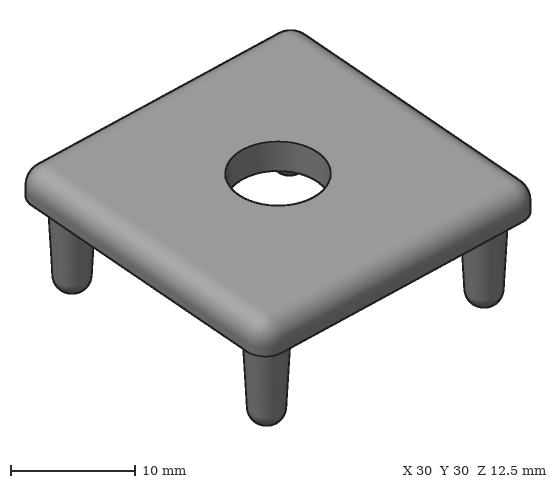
import cadquery as cq
import math

plate_side = 30.0
plate_thickness = 3.0
edge_radius = 2.0
hole_diameter = 8.5

peg_spacing = 23.5
peg_root_radius = 2.0
peg_end_radius = 1.6
peg_taper_length = 8.0
peg_tip_height = 1.5
peg_length = peg_taper_length + peg_tip_height

tip_sphere_radius = (peg_end_radius**2 + peg_tip_height**2) / (2 * peg_tip_height)
tip_sphere_z = tip_sphere_radius - peg_length


def make_plate():
    """Square plate with rounded corners, rounded top edges and a central through hole."""
    plate = cq.Workplane("XY").rect(plate_side, plate_side).extrude(plate_thickness)
    plate = plate.edges("|Z").fillet(edge_radius)
    plate = plate.faces(">Z").edges().fillet(edge_radius)
    return plate.faces(">Z").workplane().hole(hole_diameter)


def make_peg():
    """Tapered round peg hanging down from Z = 0, ending in a domed tip."""
    arc_middle_angle = math.radians(45)
    arc_middle = (
        -tip_sphere_radius * math.cos(arc_middle_angle),
        tip_sphere_z - tip_sphere_radius * math.sin(arc_middle_angle),
    )
    half_profile = (
        cq.Workplane("XZ")
        .moveTo(0, 0)
        .lineTo(-peg_root_radius, 0)
        .lineTo(-peg_end_radius, -peg_taper_length)
        .threePointArc(arc_middle, (0, -peg_length))
        .close()
    )
    return half_profile.revolve(360, (0, 0), (0, 1))


def add_pegs(plate):
    """Join one peg near each corner of the plate."""
    peg = make_peg()
    offset = peg_spacing / 2
    for x_side in (-1, 1):
        for y_side in (-1, 1):
            plate = plate.union(peg.translate((x_side * offset, y_side * offset, 0)))
    return plate


result = add_pegs(make_plate())